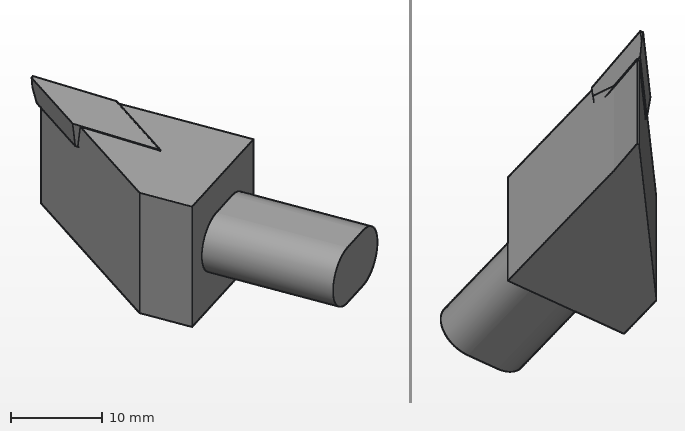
import cadquery as cq
import math

total_length = 43.3
total_width = 16.0
total_height = 15.8

flank_angle = math.radians(38.0)
back_angle = math.radians(3.0)
flank_slope = math.tan(flank_angle)
back_slope = math.tan(back_angle)

insert_side = 11.05
insert_thickness = 3.1
insert_relief_angle = 7.0
insert_rise = 0.15
nose_flat_width = 0.4

holder_nose_x = 1.3
holder_end_x = 27.3
holder_width = 15.3
holder_nose_width = 0.25
holder_height = total_height - insert_rise
holder_nose_y = holder_width + holder_nose_width
holder_front_x = holder_nose_x + holder_width / flank_slope
holder_back_x = holder_nose_x + holder_nose_width / back_slope

shank_width = 11.1
shank_height = 7.2
shank_center_y = 7.95
shank_center_z = holder_height / 2
shank_length = total_length - holder_end_x


def make_insert():
    """Rhombus with sides relieved toward its base and the acute nose cut flat at X = 0."""
    apex_x = -nose_flat_width / (flank_slope - back_slope)
    apex_y = total_width - back_slope * apex_x
    flank_x = insert_side * math.cos(flank_angle)
    flank_y = -insert_side * math.sin(flank_angle)
    back_x = insert_side * math.cos(back_angle)
    back_y = -insert_side * math.sin(back_angle)
    rhombus = (
        cq.Workplane("XY", origin=(apex_x, apex_y, total_height))
        .polyline([(0, 0), (flank_x, flank_y), (flank_x + back_x, flank_y + back_y), (back_x, back_y)])
        .close()
        .extrude(-insert_thickness, taper=insert_relief_angle)
    )
    keep_box = cq.Workplane("XY").box(
        total_length, total_width, total_height, centered=False
    )
    return rhombus.intersect(keep_box)


def make_block():
    """Holder block with its front flank and back edge parallel to the insert edges."""
    return (
        cq.Workplane("XY")
        .polyline([
            (holder_front_x, 0),
            (holder_end_x, 0),
            (holder_end_x, holder_width),
            (holder_back_x, holder_width),
            (holder_nose_x, holder_nose_y),
            (holder_nose_x, holder_width),
        ])
        .close()
        .extrude(holder_height)
    )


def make_shank():
    """Shank along X with flat top and bottom and half-round sides."""
    return (
        cq.Workplane("YZ", origin=(holder_end_x, shank_center_y, shank_center_z))
        .slot2D(shank_width, shank_height)
        .extrude(shank_length)
    )


insert = make_insert()

holder = make_block().union(make_shank()).cut(insert)

result = cq.Compound.makeCompound([holder.solids().val(), insert.solids().val()])